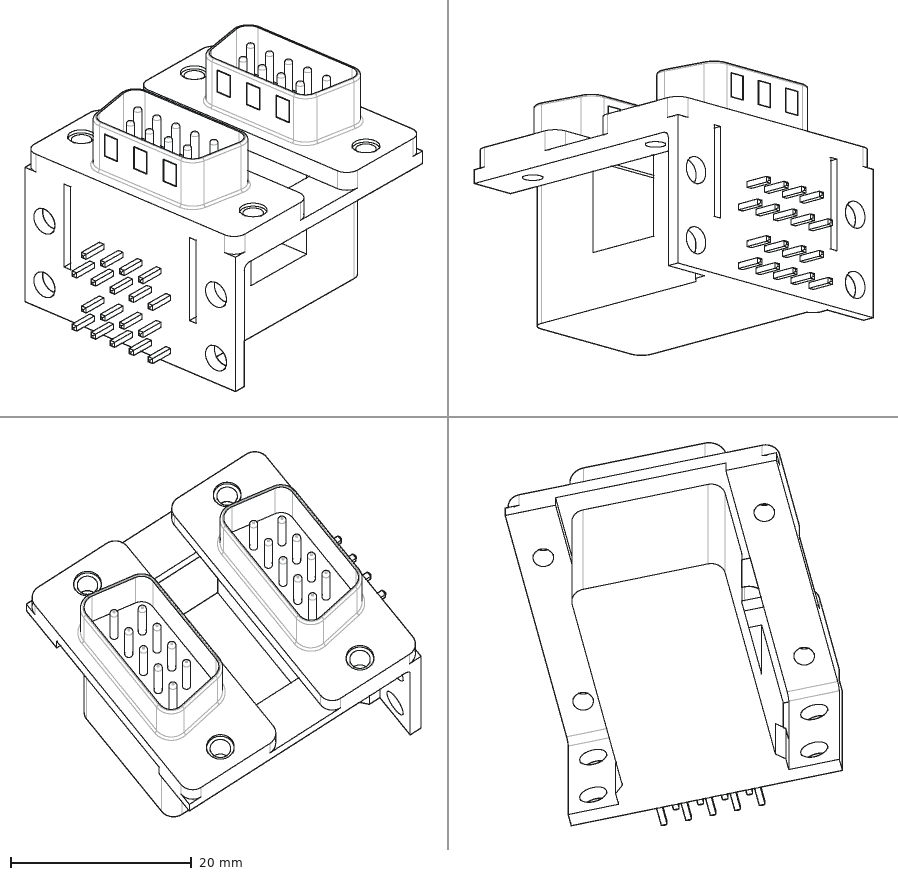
import cadquery as cq
import math

width = 30.8
height = 25.4
bracket_length = 31.58
overlap = 0.35

bracket_inner_x = 9.67
bracket_top = 17.08
bracket_top_thickness = 1.6
bracket_front_thickness = 1.5
bracket_inner_radius = 0.75
bracket_hole_diameter = 3.05
bracket_hole_levels = (3.2, 11.27)
mounting_hole_x = 12.55

body_half_width = 8.7
body_length = 29.35
body_corner_radius = 1.6
base_height = 6.55
gap_front = 10.35
gap_rear = 19.75
wing_length = 3.8
wing_tip_length = 2.92

flange_depth = 12.55
flange_top = 19.35
flange_corner_radius = 1.6
flange_hole_diameter = 2.25
flange_recess_diameter = 3.05
flange_recess_depth = 0.38
connector_centers = (flange_depth / 2, bracket_length - flange_depth / 2)

shell_depth = 9.18
shell_rear_half_width = 9.25
shell_side_angle = 10.0
shell_corner_radius = 1.98
shell_wall = 0.4
shell_rim_radius = 0.28
shell_foot_radius = 0.28
dimple_width = 1.88
dimple_height = 2.75
dimple_depth = 0.1
dimple_pitch = 4.3
dimple_center_z = 22.92

contact_pitch = 2.78
contact_row_spacing = 2.85
contact_diameter = 0.9
contact_top = 25.0
contact_tip_radius = 0.35

pin_size = 0.65
pin_length = 3.2
pin_tip_chamfer = 0.2
pin_rows = ((1.65, 5), (4.45, 4), (8.38, 5), (11.27, 4))


def row_positions(count, pitch):
    """Evenly spaced X positions, centred on X = 0."""
    return [(i - (count - 1) / 2) * pitch for i in range(count)]


def block(x_min, x_max, y_min, y_max, z_min, z_max):
    size = (x_max - x_min, y_max - y_min, z_max - z_min)
    return cq.Workplane("XY").box(*size, centered=False).translate((x_min, y_min, z_min))


def make_bracket():
    """L-shaped angle bracket on the +X side."""
    profile = (
        cq.Workplane("YZ", origin=(bracket_inner_x, 0, 0))
        .polyline([
            (0, 0),
            (0, bracket_top),
            (bracket_length, bracket_top),
            (bracket_length, bracket_top - bracket_top_thickness),
            (bracket_front_thickness, bracket_top - bracket_top_thickness),
            (bracket_front_thickness, 0),
        ])
        .close()
    )
    bracket = profile.extrude(width / 2 - bracket_inner_x)
    inner_corner = cq.selectors.NearestToPointSelector(
        (mounting_hole_x, bracket_front_thickness, bracket_top - bracket_top_thickness)
    )
    bracket = bracket.edges("|X").edges(inner_corner).fillet(bracket_inner_radius)
    holes = (
        cq.Workplane("XZ")
        .pushPoints([(mounting_hole_x, z) for z in bracket_hole_levels])
        .circle(bracket_hole_diameter / 2)
        .extrude(-bracket_front_thickness)
    )
    return bracket.cut(holes)


def make_body():
    """Two connector blocks on a common base, with wings that join the brackets."""
    body = block(-body_half_width, body_half_width, 0, body_length, 0, bracket_top)
    body = body.edges("|Z and >Y").fillet(body_corner_radius)
    gap = block(-body_half_width, body_half_width, gap_front, gap_rear, base_height, bracket_top)
    wings = (
        cq.Workplane("XY")
        .polyline([
            (-bracket_inner_x, 0),
            (bracket_inner_x, 0),
            (bracket_inner_x, wing_tip_length),
            (body_half_width, wing_length),
            (-body_half_width, wing_length),
            (-bracket_inner_x, wing_tip_length),
        ])
        .close()
        .extrude(base_height)
    )
    return body.cut(gap).union(wings)


def d_prism(offset, z_min, z_max):
    """D-shaped prism centred on the connector, grown by offset on all sides."""
    angle = math.radians(shell_side_angle)
    front_half_width = shell_rear_half_width - shell_depth * math.tan(angle)
    half_depth = shell_depth / 2 + offset
    front_x = front_half_width + offset * (1 / math.cos(angle) - math.tan(angle))
    rear_x = shell_rear_half_width + offset * (1 / math.cos(angle) + math.tan(angle))
    return (
        cq.Workplane("XY", origin=(0, 0, z_min))
        .polyline([
            (-front_x, -half_depth),
            (front_x, -half_depth),
            (rear_x, half_depth),
            (-rear_x, half_depth),
        ])
        .close()
        .extrude(z_max - z_min)
        .edges("|Z")
        .fillet(shell_corner_radius + offset)
    )


def make_shell_blank():
    """Solid outline of the shell, with a rounded rim."""
    blank = d_prism(0, flange_top - overlap, height)
    return blank.faces(">Z").edges().fillet(shell_rim_radius)


def shell_cuts():
    """Inside of the shell and the shallow dimples on its front side."""
    cuts = d_prism(-shell_wall, flange_top, height)
    for x in row_positions(3, dimple_pitch):
        dimple = cq.Workplane("XY").box(dimple_width, 2 * dimple_depth, dimple_height)
        cuts = cuts.union(dimple.translate((x, -shell_depth / 2, dimple_center_z)))
    return cuts


def make_contacts():
    base = flange_top - overlap
    points = [(x, contact_row_spacing / 2) for x in row_positions(5, contact_pitch)]
    points += [(x, -contact_row_spacing / 2) for x in row_positions(4, contact_pitch)]
    return (
        cq.Workplane("XY", origin=(0, 0, base))
        .pushPoints(points)
        .circle(contact_diameter / 2)
        .extrude(contact_top - base)
        .faces(">Z")
        .edges()
        .fillet(contact_tip_radius)
    )


def make_connector():
    """Flange, shell and contacts, centred on X = Y = 0."""
    flange = (
        cq.Workplane("XY", origin=(0, 0, bracket_top))
        .rect(width, flange_depth)
        .extrude(flange_top - bracket_top)
        .edges("|Z")
        .fillet(flange_corner_radius)
    )
    around_foot = cq.selectors.BoxSelector(
        (-mounting_hole_x, -shell_depth / 2 - overlap, flange_top - overlap / 2),
        (mounting_hole_x, shell_depth / 2 + overlap, flange_top + overlap / 2),
    )
    connector = flange.union(make_shell_blank())
    connector = connector.edges(around_foot).fillet(shell_foot_radius)
    return connector.cut(shell_cuts()).union(make_contacts())


def flange_holes():
    """Stepped holes through flange and bracket, centred on X = Y = 0."""
    centers = [(-mounting_hole_x, 0), (mounting_hole_x, 0)]
    through = (
        cq.Workplane("XY")
        .pushPoints(centers)
        .circle(flange_hole_diameter / 2)
        .extrude(flange_top)
    )
    recess = (
        cq.Workplane("XY", origin=(0, 0, flange_top - flange_recess_depth))
        .pushPoints(centers)
        .circle(flange_recess_diameter / 2)
        .extrude(flange_recess_depth)
    )
    return through.union(recess)


def make_solder_pin(x, z):
    pin = block(-pin_size / 2, pin_size / 2, -pin_length, overlap, -pin_size / 2, pin_size / 2)
    return pin.faces("<Y").edges().chamfer(pin_tip_chamfer).translate((x, 0, z))


bracket = make_bracket()
result = make_body().union(bracket).union(bracket.mirror("YZ"))

connector = make_connector()
holes = flange_holes()
for center_y in connector_centers:
    result = result.union(connector.translate((0, center_y, 0)))
    result = result.cut(holes.translate((0, center_y, 0)))

for row_height, pin_count in pin_rows:
    for pin_x in row_positions(pin_count, contact_pitch):
        result = result.union(make_solder_pin(pin_x, row_height))